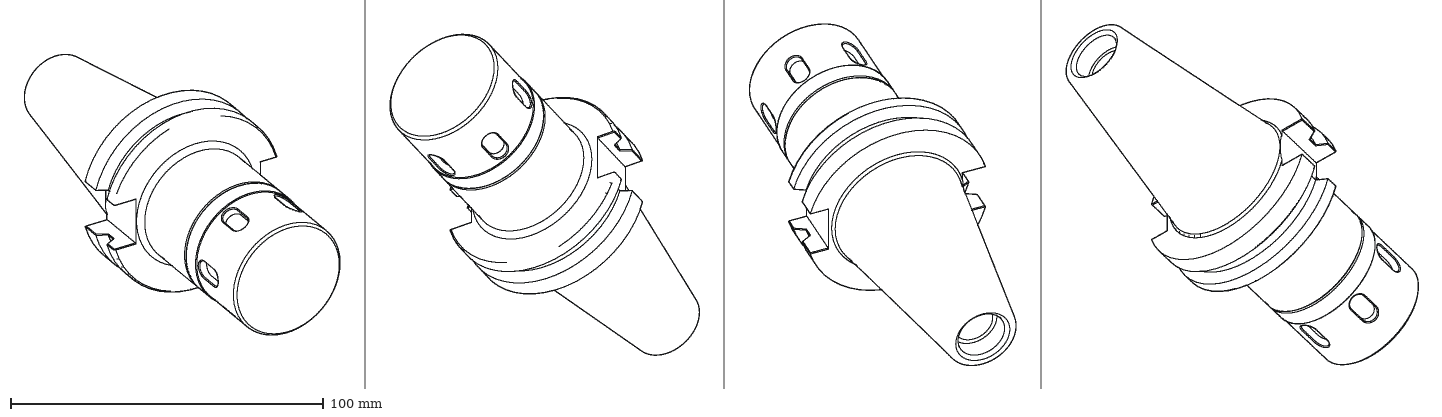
import cadquery as cq
import math

total_length = 144.8

taper_length = 68.5
taper_large_radius = 44.5 / 2
taper_small_radius = 23.9 / 2
tip_round = 1.5

flange_start = 69.4
flange_end = 87.5
flange_radius = 63.3 / 2
flange_rear_round = 0.6
root_fillet = flange_start - taper_length
groove_centre = 79.5
groove_depth = 3.3
groove_floor_width = 3.0
groove_half_angle = math.radians(30)

body_radius = 40.5 / 2
body_cone = 1.9
joint_at = 114.5
joint_depth = 0.5
ring_end = 120.9
nut_radius = 40.0 / 2
ring_chamfer = body_radius - nut_radius
nut_chamfer = 0.9

bore_mouth_radius = 18.8 / 2
bore_radius = 16.2 / 2
bore_shoulder = 7.5
inner_bore_radius = 13.3 / 2
inner_bore_end = 36.2
mouth_chamfer_depth = 1.2

drive_slot_width = 16.1
drive_slot_chamfer = 0.3
drive_floor_front = 22.5
drive_floor_back = 24.2

wrench_slot_count = 6
wrench_slot_length = 11.6
wrench_slot_width = 5.8
wrench_slot_chamfer = 0.36
wrench_slot_centre = 128.3
wrench_floor = 17.1

pick_margin = 0.01


def turned_body():
    groove_half_floor = groove_floor_width / 2
    groove_half_mouth = groove_half_floor + groove_depth * math.tan(groove_half_angle)
    groove_floor_radius = flange_radius - groove_depth
    profile = (
        cq.Workplane("XY")
        .moveTo(0, 0)
        .lineTo(0, taper_small_radius)
        .lineTo(taper_length, taper_large_radius)
        .radiusArc((flange_start, taper_large_radius + root_fillet), root_fillet)
        .lineTo(flange_start, flange_radius)
        .lineTo(groove_centre - groove_half_mouth, flange_radius)
        .lineTo(groove_centre - groove_half_floor, groove_floor_radius)
        .lineTo(groove_centre + groove_half_floor, groove_floor_radius)
        .lineTo(groove_centre + groove_half_mouth, flange_radius)
        .lineTo(flange_end - flange_rear_round, flange_radius)
        .radiusArc((flange_end, flange_radius - flange_rear_round), flange_rear_round)
        .lineTo(flange_end, body_radius + body_cone)
        .lineTo(flange_end + body_cone, body_radius)
        .lineTo(joint_at - joint_depth, body_radius)
        .lineTo(joint_at, body_radius - joint_depth)
        .lineTo(joint_at + joint_depth, body_radius)
        .lineTo(ring_end, body_radius)
        .lineTo(ring_end + ring_chamfer, nut_radius)
        .lineTo(total_length - nut_chamfer, nut_radius)
        .lineTo(total_length, nut_radius - nut_chamfer)
        .lineTo(total_length, 0)
        .close()
    )
    body = profile.revolve(360, (0, 0, 0), (1, 0, 0))
    return body.faces("<X").edges().fillet(tip_round)


def stepped_bore():
    return (
        cq.Workplane("XY")
        .moveTo(0, 0)
        .lineTo(0, bore_mouth_radius)
        .lineTo(mouth_chamfer_depth, bore_radius)
        .lineTo(bore_shoulder, bore_radius)
        .lineTo(bore_shoulder, inner_bore_radius)
        .lineTo(inner_bore_end, inner_bore_radius)
        .lineTo(inner_bore_end, 0)
        .close()
        .revolve(360, (0, 0, 0), (1, 0, 0))
    )


def drive_slot(side, floor):
    """Flat-floored slot across the flange; side is -1 or +1 along Y."""
    length = flange_end - taper_length
    middle = (taper_length + flange_end) / 2
    return cq.Workplane("XY").box(length, flange_radius, drive_slot_width).translate(
        (middle, side * (floor + flange_radius / 2), 0)
    )


def chamfer_drive_walls(part):
    """Break the outer edges of the four drive slot walls, leaving the slot floors sharp."""
    half_width = drive_slot_width / 2
    edges = []
    for edge in part.edges().vals():
        box = edge.BoundingBox()
        centre = edge.Center()
        on_wall = box.zlen < pick_margin and abs(abs(centre.z) - half_width) < pick_margin
        within_flange = box.xmin > flange_start - pick_margin and box.xmax < flange_end + pick_margin
        floor = drive_floor_front if centre.y < 0 else drive_floor_back
        beyond_floor = abs(centre.y) > floor + pick_margin
        if on_wall and within_flange and beyond_floor:
            edges.append(edge)
    return part.newObject(edges).chamfer(drive_slot_chamfer)


def wrench_slot(angle):
    return (
        cq.Workplane("XY")
        .workplane(offset=wrench_floor)
        .center(wrench_slot_centre, 0)
        .slot2D(wrench_slot_length, wrench_slot_width)
        .extrude(body_radius - wrench_floor)
        .rotate((0, 0, 0), (1, 0, 0), angle)
    )


def chamfer_wrench_rims(part):
    """Break the edges where the wrench slots meet the outside of the nut."""
    edges = []
    for edge in part.edges().vals():
        within_slot = abs(edge.Center().x - wrench_slot_centre) < wrench_slot_length / 2 + pick_margin
        ends = (edge.startPoint(), edge.endPoint())
        on_nut = all(abs(math.hypot(end.y, end.z) - nut_radius) < pick_margin for end in ends)
        if within_slot and on_nut:
            edges.append(edge)
    return part.newObject(edges).chamfer(wrench_slot_chamfer)


result = turned_body().cut(stepped_bore())
result = result.cut(drive_slot(-1, drive_floor_front))
result = result.cut(drive_slot(1, drive_floor_back))
result = chamfer_drive_walls(result)

for index in range(wrench_slot_count):
    result = result.cut(wrench_slot(90 + index * 360 / wrench_slot_count))
result = chamfer_wrench_rims(result)